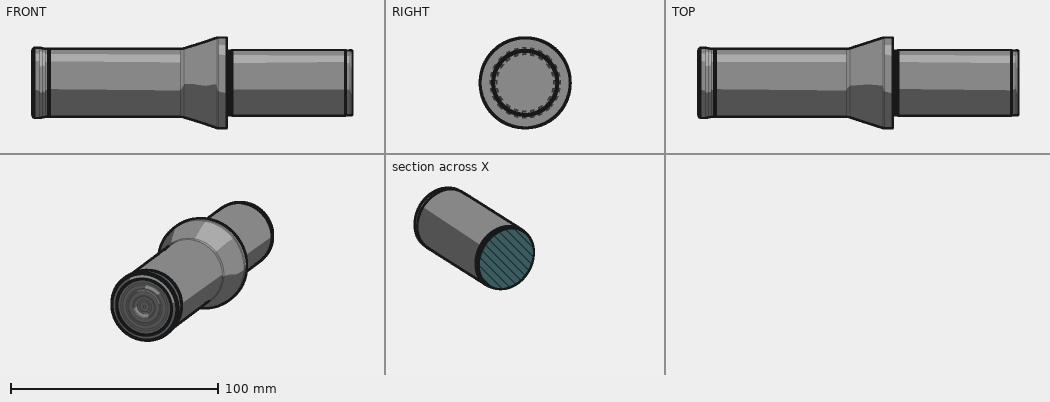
import cadquery as cq
import math

LENGTH = 155.0
X_START = -LENGTH / 2

END_FACE_R = 14.5
NOSE_R = 16.3
NOSE_LENGTH = 0.5
COLLAR_R = 17.0
COLLAR_START = 1.2
COLLAR_END = 3.7
TAPER_R = 16.7
TAPER_MIDDLE = 5.1
TAPER_END = 6.5

BARREL_R = 33.0 / 2
GROOVE_START = 7.9
GROOVE_WIDTH = 0.8
GROOVE_DEPTH = 0.2

FLARE_START = 71.9
FLARE_ANGLE = math.radians(17.9)
FLARE_ROOT_RADIUS = 5.5
FLANGE_R = 44.0 / 2
FLANGE_RIM_RADIUS = 3.1
FLANGE_END = 94.4
FLANGE_CHAMFER = 0.5

RING_DEPTH = 0.5
RING_OUTER_R = 14.1
RING_WALL_FOOT_R = 13.6
RING_RISE = 0.2
RING_FLOOR_OUTER_R = 12.01
RING_FLOOR_INNER_R = 11.0
RING_STEP_R = 9.1
RING_STEP_DEPTH = 0.2
BOSS_FOOT_R = 8.4
BOSS_R = 7.8

DISH_R = 5.7
DISH_LIP_R = 5.1
DISH_LIP_DEPTH = 0.2
DISH_WALL_R = 3.5
DISH_WALL_DEPTH = 0.6
DISH_FLOOR_R = 2.5
DISH_FLOOR_DEPTH = 0.8
DISH_CENTRE_R = 0.8
DISH_DEPTH = 1.0

NECK_R = 31.5 / 2
NECK_STEP_R = 15.5
NECK_STEP_START = 95.2
NECK_STEP_END = 95.6
NECK_END = 96.5
PLUG_R = 32.0 / 2
PLUG_SHOULDER_START = 96.9
PLUG_SHOULDER_END = 151.3
TIP_START = 151.7
TIP_CHAMFER_START = 153.6
TIP_CHAMFER_MIDDLE = 154.7
TIP_MIDDLE_R = 15.5
TIP_END_R = 15.0


def turn(profile):
    """Turn a closed profile about the X axis and set it in place."""
    body = profile.close().revolve(360, (0, 0, 0), (1, 0, 0))
    return body.translate((X_START, 0, 0))


def make_flare_arcs():
    """Find the two tangent arcs that join the flare cone to its neighbours."""
    half = FLARE_ANGLE / 2

    def offsets(radius, angle):
        return radius * math.sin(angle), radius * (1 - math.cos(angle))

    root_mid = offsets(FLARE_ROOT_RADIUS, half)
    root_end = offsets(FLARE_ROOT_RADIUS, FLARE_ANGLE)
    rim_mid = offsets(FLANGE_RIM_RADIUS, half)
    rim_end = offsets(FLANGE_RIM_RADIUS, FLARE_ANGLE)

    cone_start = (FLARE_START + root_end[0], BARREL_R + root_end[1])
    cone_end_r = FLANGE_R - rim_end[1]
    cone_end_x = cone_start[0] + (cone_end_r - cone_start[1]) / math.tan(FLARE_ANGLE)
    rim_x = cone_end_x + rim_end[0]

    root_arc = ((FLARE_START + root_mid[0], BARREL_R + root_mid[1]), cone_start)
    cone_end = (cone_end_x, cone_end_r)
    rim_arc = ((rim_x - rim_mid[0], FLANGE_R - rim_mid[1]), (rim_x, FLANGE_R))
    return root_arc, cone_end, rim_arc


def make_sleeve():
    """Barrel with an end collar, a flared flange and a ringed left end face."""
    root_arc, cone_end, rim_arc = make_flare_arcs()
    groove_end = GROOVE_START + GROOVE_WIDTH
    groove_r = BARREL_R - GROOVE_DEPTH

    profile = cq.Workplane("XY").moveTo(DISH_DEPTH, 0)
    profile = profile.lineTo(DISH_DEPTH, DISH_CENTRE_R)
    profile = profile.lineTo(DISH_FLOOR_DEPTH, DISH_FLOOR_R)
    profile = profile.lineTo(DISH_WALL_DEPTH, DISH_WALL_R)
    profile = profile.lineTo(DISH_LIP_DEPTH, DISH_LIP_R)
    profile = profile.lineTo(0, DISH_R)

    profile = profile.lineTo(0, BOSS_R)
    profile = profile.lineTo(RING_STEP_DEPTH, BOSS_FOOT_R)
    profile = profile.lineTo(RING_STEP_DEPTH, RING_STEP_R)
    profile = profile.lineTo(RING_DEPTH, RING_FLOOR_INNER_R)
    profile = profile.lineTo(RING_DEPTH, RING_FLOOR_OUTER_R)
    profile = profile.lineTo(RING_DEPTH - RING_RISE, RING_WALL_FOOT_R)
    profile = profile.lineTo(0, RING_OUTER_R)

    profile = profile.lineTo(0, END_FACE_R)
    profile = profile.lineTo(NOSE_LENGTH, NOSE_R)
    profile = profile.lineTo(COLLAR_START, COLLAR_R)
    profile = profile.lineTo(COLLAR_END, COLLAR_R)
    profile = profile.lineTo(TAPER_MIDDLE, TAPER_R)
    profile = profile.lineTo(TAPER_END, BARREL_R)

    profile = profile.lineTo(GROOVE_START, BARREL_R)
    profile = profile.lineTo(GROOVE_START, groove_r)
    profile = profile.lineTo(groove_end, groove_r)
    profile = profile.lineTo(groove_end, BARREL_R)

    profile = profile.lineTo(FLARE_START, BARREL_R)
    profile = profile.threePointArc(*root_arc)
    profile = profile.lineTo(*cone_end)
    profile = profile.threePointArc(*rim_arc)
    profile = profile.lineTo(FLANGE_END - FLANGE_CHAMFER, FLANGE_R)
    profile = profile.lineTo(FLANGE_END, FLANGE_R - FLANGE_CHAMFER)
    profile = profile.lineTo(FLANGE_END, 0)
    return turn(profile)


def make_plug():
    """Cylinder that butts against the flange, with a neck and a stepped tip."""
    profile = cq.Workplane("XY").moveTo(FLANGE_END, 0)

    profile = profile.lineTo(FLANGE_END, NECK_R)
    profile = profile.lineTo(NECK_STEP_START, NECK_R)
    profile = profile.lineTo(NECK_STEP_START, NECK_STEP_R)
    profile = profile.lineTo(NECK_STEP_END, NECK_STEP_R)
    profile = profile.lineTo(NECK_STEP_END, NECK_R)
    profile = profile.lineTo(NECK_END, NECK_R)

    profile = profile.lineTo(PLUG_SHOULDER_START, PLUG_R)
    profile = profile.lineTo(PLUG_SHOULDER_END, PLUG_R)

    profile = profile.lineTo(TIP_START, NECK_R)
    profile = profile.lineTo(TIP_CHAMFER_START, NECK_R)
    profile = profile.threePointArc((TIP_CHAMFER_MIDDLE, TIP_MIDDLE_R), (LENGTH, TIP_END_R))
    profile = profile.lineTo(LENGTH, 0)
    return turn(profile)


sleeve = make_sleeve()
plug = make_plug()

result = cq.Compound.makeCompound([sleeve.val(), plug.val()])